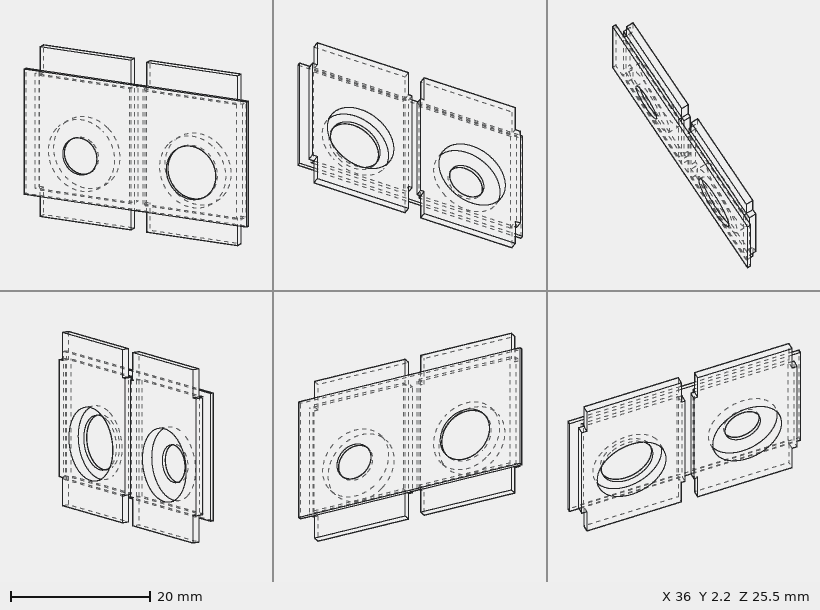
import cadquery as cq

cover_width = 36.0
cover_height = 18.8
cover_thickness = 0.55

total_depth = 2.2
pad_thickness = 1.1
pad_front = total_depth - pad_thickness

pad_inner_x = 0.7
pad_outer_x = 16.78
pad_height = 17.2
tab_inner_x = 1.25
tab_outer_x = 16.0
tab_height = 25.5

spacer_fillet = 0.18

hole_x = 9.0
hole_z = -2.5
small_hole_diameter = 5.5
large_hole_diameter = 8.0
rear_bore_diameter = 10.73


def block(x_start, x_end, y_start, thickness, height):
    """Box spanning the given X and Y ranges, centred on Z = 0."""
    width = x_end - x_start
    box = cq.Workplane("XY").box(width, thickness, height, centered=(False, False, True))
    return box.translate((x_start, y_start, 0))


def spacer():
    """Layer between the cover and the right pad, flared by fillets at its outer end."""
    profile = (
        cq.Workplane("XY")
        .moveTo(tab_inner_x, cover_thickness)
        .lineTo(tab_outer_x + spacer_fillet, cover_thickness)
        .radiusArc((tab_outer_x, cover_thickness + spacer_fillet), spacer_fillet)
        .lineTo(tab_outer_x, pad_front - spacer_fillet)
        .radiusArc((tab_outer_x + spacer_fillet, pad_front), spacer_fillet)
        .lineTo(tab_inner_x, pad_front)
        .close()
    )
    return profile.extrude(pad_height / 2, both=True)


def right_pad():
    """Cross-shaped back pad together with its spacer."""
    body = block(pad_inner_x, pad_outer_x, pad_front, pad_thickness, pad_height)
    tab = block(tab_inner_x, tab_outer_x, pad_front, pad_thickness, tab_height)
    return body.union(tab).union(spacer())


def round_hole(x, diameter, y_start, y_end):
    """Cylinder along Y between two depths, used as a cutter."""
    plane = cq.Workplane("XZ", origin=(x, y_start, hole_z))
    return plane.circle(diameter / 2).extrude(y_start - y_end)


cover = block(-cover_width / 2, cover_width / 2, 0, cover_thickness, cover_height)
pad = right_pad()
result = cover.union(pad).union(pad.mirror("YZ"))

for x, diameter in ((-hole_x, small_hole_diameter), (hole_x, large_hole_diameter)):
    result = result.cut(round_hole(x, diameter, 0, cover_thickness))
    result = result.cut(round_hole(x, rear_bore_diameter, cover_thickness, total_depth))